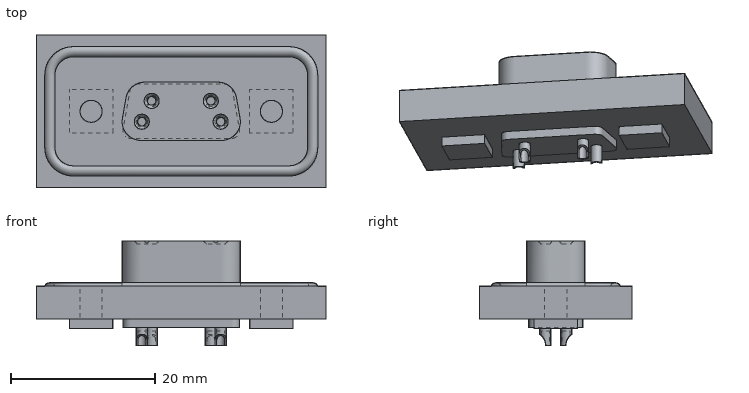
import cadquery as cq
import math

plate_length, plate_width, plate_thickness = 40.2, 21.2, 4.6

ring_length, ring_width = 36.45, 16.52
ring_corner_radius = 3.25
ring_height = 0.5
ring_base_width = 1.4
cord_radius = (ring_base_width**2 / 4 + ring_height**2) / (2 * ring_height)
cord_center_z = ring_height - cord_radius

side_angle = math.radians(10)
housing_length, housing_width, housing_height = 16.4, 8.1, 6.27
housing_corner_radius = 2.6
lower_length, lower_width, lower_height = 16.15, 7.5, 1.15
lower_corner_radius = 1.1

mount_spacing = 25.0
mount_hole_diameter = 3.05
nut_side = 6.05
nut_height = 1.3

row_y = 1.45
contact_rows = ((row_y, 8.2, 1), (-row_y, 10.95, -1))
socket_floor_diameter = 1.2
socket_mouth_diameter = 2.1
socket_depth = (socket_mouth_diameter - socket_floor_diameter) / 2
pin_diameter = 1.55
cup_bore_diameter = 1.13
cup_depth = 2.0
pin_tip_z = -(plate_thickness + 3.65)
cutaway_height = 1.55
tip_inset = 0.05


def d_prism(length, width, corner_radius, bottom_z, height):
    """Rounded trapezoid prism; length is its greatest extent after rounding."""
    slope = math.tan(side_angle)
    arc_center_x = length / 2 - corner_radius
    wide_half = arc_center_x + corner_radius * (1 / math.cos(side_angle) + slope)
    narrow_half = wide_half - width * slope
    return (
        cq.Workplane("XY", origin=(0, 0, bottom_z))
        .polyline([
            (-wide_half, -width / 2),
            (wide_half, -width / 2),
            (narrow_half, width / 2),
            (-narrow_half, width / 2),
        ])
        .close()
        .extrude(height)
        .edges("|Z")
        .fillet(corner_radius)
    )


def seal_ring():
    outline = (
        cq.Workplane("XY", origin=(0, 0, cord_center_z))
        .rect(ring_length, ring_width)
        .extrude(0.4)
        .edges("|Z")
        .fillet(ring_corner_radius)
        .faces("<Z")
        .wires()
    )
    return (
        cq.Workplane("XZ", origin=(0, -ring_width / 2, cord_center_z))
        .transformed(rotate=(0, 90, 0))
        .circle(cord_radius)
        .sweep(outline)
    )


def socket(x, y):
    """Cutting body of a shallow conical contact socket with a flat floor."""
    profile = [
        (0, 0),
        (socket_mouth_diameter / 2, 0),
        (socket_floor_diameter / 2, -socket_depth),
        (0, -socket_depth),
    ]
    return (
        cq.Workplane("XZ")
        .polyline(profile)
        .close()
        .revolve(360, (0, 0), (0, 1))
        .translate((x, y, housing_height))
    )


def solder_pin(x, y, opening):
    """Pin ending in a solder cup, cut away along an arc on its outer side."""
    pin_radius = pin_diameter / 2
    pin_length = -plate_thickness - pin_tip_z
    pin = cq.Workplane("XY").circle(pin_radius).extrude(pin_length)
    bore = cq.Workplane("XY").circle(cup_bore_diameter / 2).extrude(cup_depth)
    cut_width = pin_radius + tip_inset
    arc_radius = (cut_width**2 + cutaway_height**2) / (2 * cut_width)
    cutaway = (
        cq.Workplane("YZ")
        .center(opening * (arc_radius - tip_inset), 0)
        .circle(arc_radius)
        .extrude(pin_radius, both=True)
    )
    return pin.cut(bore).cut(cutaway).translate((x, y, pin_tip_z))


plate = cq.Workplane("XY", origin=(0, 0, -plate_thickness)).box(
    plate_length, plate_width, plate_thickness, centered=(True, True, False)
)
housing = d_prism(housing_length, housing_width, housing_corner_radius, 0, housing_height)
lower_body = d_prism(
    lower_length, lower_width, lower_corner_radius, -plate_thickness - lower_height, lower_height
)
result = plate.union(seal_ring()).union(housing).union(lower_body)

mount_points = [(-mount_spacing / 2, 0), (mount_spacing / 2, 0)]
mount_holes = (
    cq.Workplane("XY").pushPoints(mount_points).circle(mount_hole_diameter / 2).extrude(-plate_thickness)
)
nuts = (
    cq.Workplane("XY", origin=(0, 0, -plate_thickness))
    .pushPoints(mount_points)
    .rect(nut_side, nut_side)
    .extrude(-nut_height)
)
result = result.cut(mount_holes).union(nuts)

for contact_y, spacing, opening_direction in contact_rows:
    for contact_x in (-spacing / 2, spacing / 2):
        result = result.cut(socket(contact_x, contact_y))
        result = result.union(solder_pin(contact_x, contact_y, opening_direction))